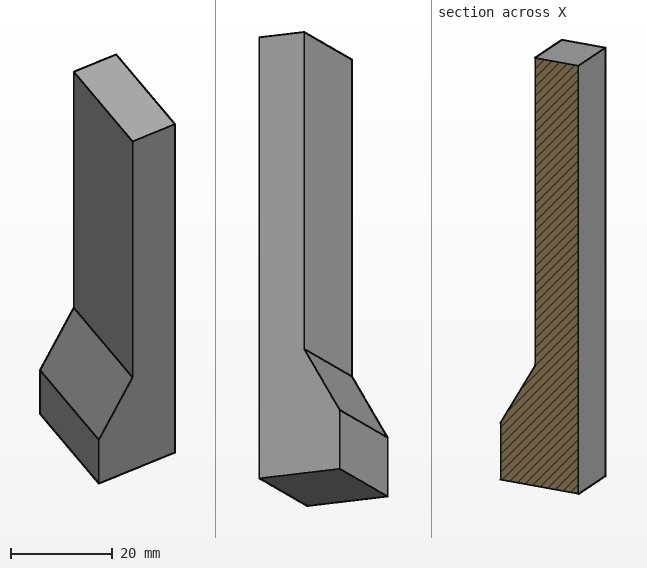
import cadquery as cq
import math

width = 22.9
foot_depth = 17.4
height = 90.0

blade_thickness = 9.7
foot_height = 12.0
slope_angle = 60.0

foot_projection = foot_depth - blade_thickness
slope_rise = foot_projection * math.tan(math.radians(slope_angle))
slope_top = foot_height + slope_rise


def side_profile():
    """Closed outline in the YZ plane: thin blade with a thicker foot toward -Y."""
    return (
        cq.Workplane("YZ")
        .moveTo(0, 0)
        .lineTo(-foot_depth, 0)
        .lineTo(-foot_depth, foot_height)
        .lineTo(-blade_thickness, slope_top)
        .lineTo(-blade_thickness, height)
        .lineTo(0, height)
        .close()
    )


result = side_profile().extrude(width / 2, both=True)